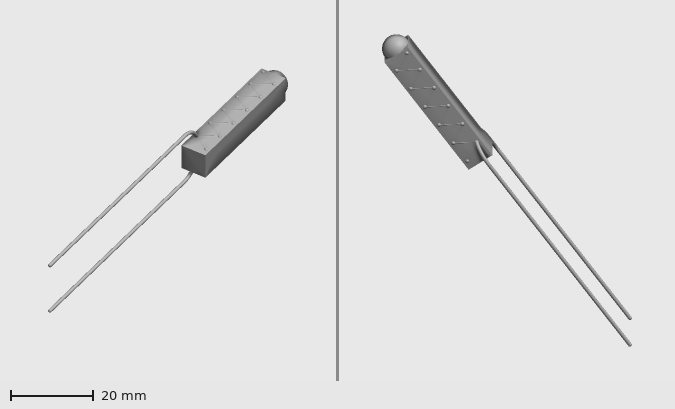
import cadquery as cq
import math

total_length = 99.5
lead_span = 15.0

block_width = 7.0
block_length = 35.6
dome_radius = block_width / 2

bend_count = 12
first_segment = 2.0
end_margin = 0.6
segment_pitch = (block_length - first_segment - end_margin) / (bend_count - 1)
bend_offset = 2.4
zigzag_height = 3.3
zigzag_radius = 0.25
bend_ball_radius = 0.55

lead_radius = 0.47
lead_height = lead_span / 2 - lead_radius
lead_curve_length = 5.4
lead_bend_index = bend_count - 2
lead_tip_y = dome_radius - total_length


def bend_point(index):
    """Centre of a zigzag bend; bends alternate between the -X and +X sides."""
    side = -1 if index % 2 == 0 else 1
    if index == 0:
        y = -first_segment / 2
    else:
        y = -first_segment - (index - 0.5) * segment_pitch
    return cq.Vector(side * bend_offset, y, zigzag_height)


def make_zigzag():
    """Thin straight wires between round balls at the bends."""
    points = [bend_point(index) for index in range(bend_count)]
    zigzag = cq.Workplane("XY")
    for point in points:
        ball = cq.Workplane("XY").sphere(bend_ball_radius).translate(point)
        zigzag = zigzag.union(ball)
    for start, end in zip(points, points[1:]):
        run = end - start
        strand = cq.Solid.makeCylinder(zigzag_radius, run.Length, start, run)
        zigzag = zigzag.union(cq.Workplane(strand))
    return zigzag


def make_lead():
    """Curved and straight lead with a hemispherical tip."""
    start = bend_point(lead_bend_index)
    drop = lead_height - start.z
    curve_radius = (lead_curve_length**2 + drop**2) / (2 * drop)
    half_angle = math.asin(lead_curve_length / curve_radius) / 2
    straight_start_y = start.y - lead_curve_length
    tip_centre_y = lead_tip_y + lead_radius

    arc_middle = (
        straight_start_y + curve_radius * math.sin(half_angle),
        lead_height - curve_radius * (1 - math.cos(half_angle)),
    )
    path = (
        cq.Workplane("YZ", origin=(start.x, 0, 0))
        .moveTo(tip_centre_y, lead_height)
        .lineTo(straight_start_y, lead_height)
        .threePointArc(arc_middle, (start.y, start.z))
    )
    tip_centre = (start.x, tip_centre_y, lead_height)
    wire = cq.Workplane("XZ", origin=tip_centre).circle(lead_radius).sweep(path)
    tip = cq.Workplane("XY").sphere(lead_radius).translate(tip_centre)
    return wire.union(tip)


def make_upper_wire():
    """One continuous wire: the zigzag and the lead that leaves it."""
    return make_zigzag().union(make_lead())


def make_dome():
    """Hemisphere on the block's rear face, at y = 0."""
    quarter_disc = (
        cq.Workplane("XY")
        .lineTo(-dome_radius, 0)
        .radiusArc((0, dome_radius), dome_radius)
        .close()
    )
    return quarter_disc.revolve(360, (0, 0, 0), (0, 1, 0))


def make_block(wires):
    """Square block with recesses that match the wires laid into it."""
    block = cq.Workplane("XY").box(block_width, block_length, block_width)
    block = block.translate((0, -block_length / 2, 0))
    for wire in wires:
        block = block.cut(wire)
    return block


upper_wire = make_upper_wire()
wires = [upper_wire, upper_wire.mirror("XY")]
block = make_block(wires)
dome = make_dome()

bodies = [block, dome, *wires]
result = cq.Compound.makeCompound([body.solids().val() for body in bodies])